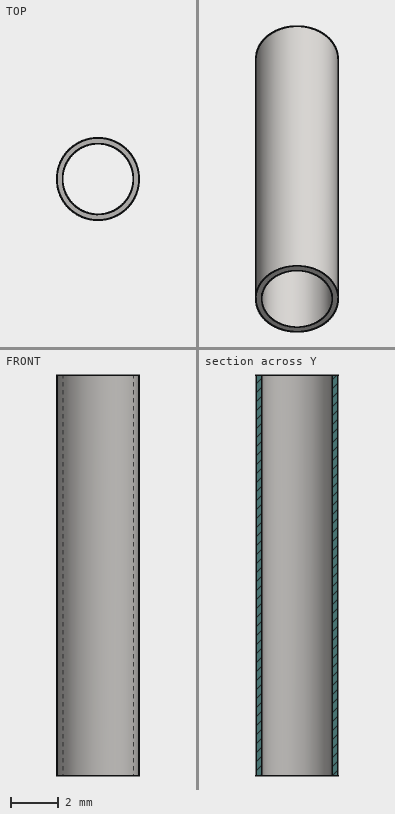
import cadquery as cq

length = 17.0
outer_diameter = 3.5
wall_thickness = 0.25
bore_diameter = outer_diameter - 2 * wall_thickness

result = (
    cq.Workplane("XY")
    .circle(outer_diameter / 2)
    .circle(bore_diameter / 2)
    .extrude(length)
)